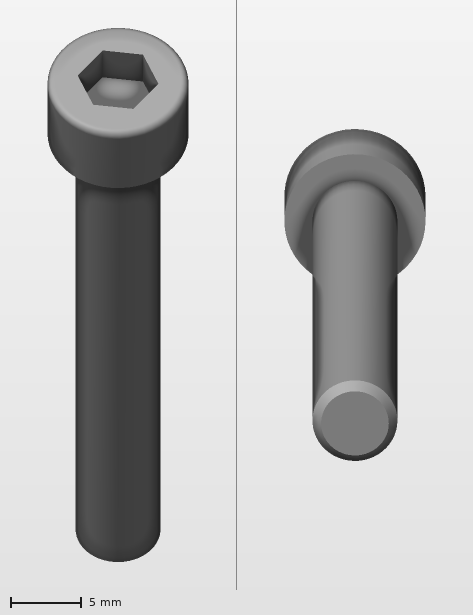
import cadquery as cq
import math

total_length = 51.0
shank_diameter = 6.0
head_diameter = 10.0
head_height = shank_diameter
head_edge_radius = 0.5
tip_chamfer = 0.6
socket_across_flats = 5.0
socket_depth = 3.0

shank_length = total_length - head_height
socket_across_corners = socket_across_flats / math.cos(math.radians(30))

shank = (
    cq.Workplane("XY")
    .circle(shank_diameter / 2)
    .extrude(shank_length)
    .faces("<Z")
    .chamfer(tip_chamfer)
)

head = (
    cq.Workplane("XY")
    .workplane(offset=shank_length)
    .circle(head_diameter / 2)
    .extrude(head_height)
    .faces(">Z")
    .edges()
    .fillet(head_edge_radius)
)

socket = (
    cq.Workplane("XY")
    .workplane(offset=total_length)
    .polygon(6, socket_across_corners)
    .extrude(-socket_depth)
)

result = shank.union(head).cut(socket)